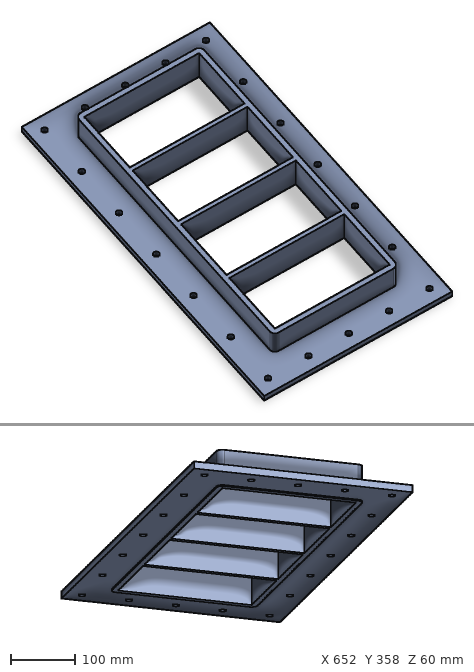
import cadquery as cq

plate_length = 652.0
plate_width = 358.0
plate_thickness = 12.0

frame_length = 532.0
frame_width = 238.0
frame_height = 60.0
frame_protrusion = 2.0
frame_corner_radius = 10.0
wall_thickness = 10.0

opening_count = 4
rib_thickness = 8.0

hole_diameter = 10.5
hole_edge_distance = 25.5
holes_along_length = 7
holes_along_width = 5


def make_plate():
    """Flat flange with its underside at the frame protrusion height."""
    return (
        cq.Workplane("XY")
        .workplane(offset=frame_protrusion)
        .rect(plate_length, plate_width)
        .extrude(plate_thickness)
    )


def make_frame():
    """Solid frame block with rounded vertical corners."""
    return (
        cq.Workplane("XY")
        .rect(frame_length, frame_width)
        .extrude(frame_height)
        .edges("|Z")
        .fillet(frame_corner_radius)
    )


def make_openings():
    """Equal rectangular openings through the full height."""
    inner_length = frame_length - 2 * wall_thickness
    inner_width = frame_width - 2 * wall_thickness
    opening_length = (inner_length - (opening_count - 1) * rib_thickness) / opening_count
    return (
        cq.Workplane("XY")
        .rarray(opening_length + rib_thickness, 6.5, opening_count, 1)
        .rect(opening_length, inner_width)
        .extrude(frame_height)
    )


def bolt_positions():
    """Evenly spaced points along the four sides of the border, corners shared."""
    span_x = plate_length - 2 * hole_edge_distance
    span_y = plate_width - 2 * hole_edge_distance
    pitch_x = span_x / (holes_along_length - 1)
    pitch_y = span_y / (holes_along_width - 1)
    points = []
    for side in (-1, 1):
        for i in range(holes_along_length):
            points.append((-span_x / 2 + i * pitch_x, side * span_y / 2))
        for i in range(1, holes_along_width - 1):
            points.append((side * span_x / 2, -span_y / 2 + i * pitch_y))
    return points


def make_bolt_holes():
    """Cylinders that cut the bolt holes through the plate."""
    return (
        cq.Workplane("XY")
        .pushPoints(bolt_positions())
        .circle(hole_diameter / 2)
        .extrude(frame_height)
    )


result = make_plate().union(make_frame()).cut(make_openings()).cut(make_bolt_holes())